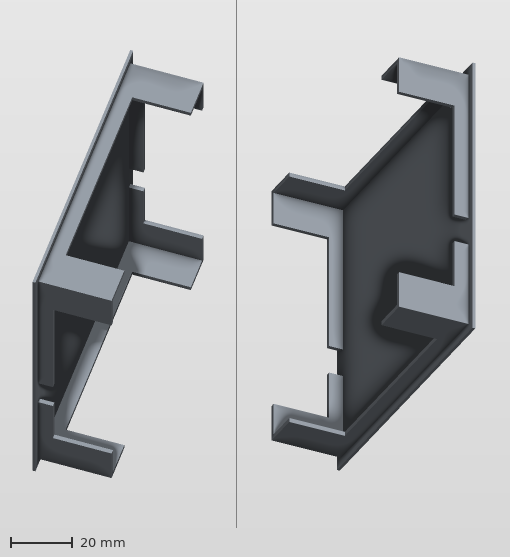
import cadquery as cq

plate_size = 100.0
plate_thickness = 1.0
total_depth = 26.0

rim_inset = 3.0
rim_size = plate_size - 2 * rim_inset
wall_thickness = 1.5
low_rim_height = 5.0
corner_height = total_depth - plate_thickness
corner_width = 13.0
opening_width = rim_size - 2 * corner_width

notch_width = 10.0
notch_center_z = -12.0


def box_behind_plate(start_x, length_x, width_y, height_z, center_z=0.0):
    """Box centred on Y, running in +X from start_x."""
    box = cq.Workplane("XY").box(length_x, width_y, height_z, centered=(False, True, True))
    return box.translate((start_x, 0, center_z))


plate = box_behind_plate(0, plate_thickness, plate_size, plate_size)

cavity_size = rim_size - 2 * wall_thickness
rim = box_behind_plate(plate_thickness, corner_height, rim_size, rim_size)
rim = rim.cut(box_behind_plate(plate_thickness, corner_height, cavity_size, cavity_size))

low_rim_top = plate_thickness + low_rim_height
opening_depth = total_depth - low_rim_top
rim = rim.cut(box_behind_plate(low_rim_top, opening_depth, plate_size, opening_width))
rim = rim.cut(box_behind_plate(low_rim_top, opening_depth, opening_width, plate_size))

notch = box_behind_plate(plate_thickness, low_rim_height, plate_size, notch_width, notch_center_z)
rim = rim.cut(notch)

result = plate.union(rim)